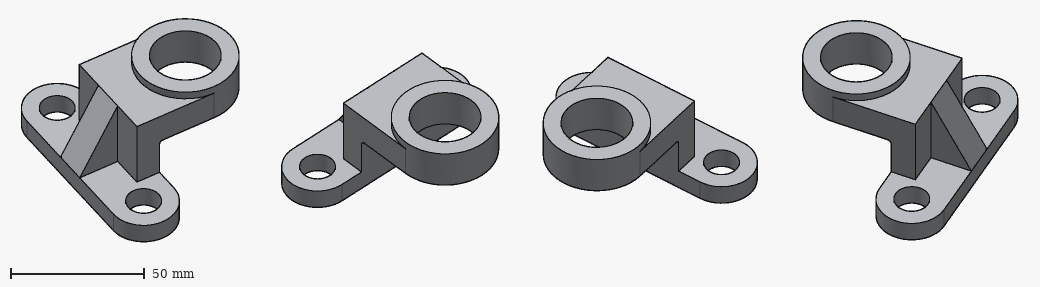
import cadquery as cq

base_length = 87.0
base_width = 26.8
base_thickness = 8.4
bolt_hole_diameter = 13.4
bolt_spacing = base_length - base_width

overall_height = 40.2
ring_diameter = 40.2
ring_bore = 26.8
ring_height = 16.0
ring_offset = 37.6
ring_step = 3.4

wall_thickness = 10.0
corner_radius = 1.6
rib_width = 13.4

arm_top = overall_height - ring_step
arm_bottom = overall_height - ring_height
base_front = -base_width / 2
wall_back = base_width / 2
wall_front = wall_back - wall_thickness


def extrude_across(profile, width):
    """Extrude a closed (Y, Z) outline symmetrically along X."""
    return cq.Workplane("YZ").polyline(profile).close().extrude(width / 2, both=True)


def cylinder(diameter, bottom, height):
    """Upright cylinder on the ring axis."""
    return (
        cq.Workplane("XY", origin=(0, ring_offset, bottom))
        .circle(diameter / 2)
        .extrude(height)
    )


base = (
    cq.Workplane("XY")
    .slot2D(base_length, base_width)
    .pushPoints([(-bolt_spacing / 2, 0), (bolt_spacing / 2, 0)])
    .circle(bolt_hole_diameter / 2)
    .extrude(base_thickness)
)

arm_profile = [
    (wall_front, 0),
    (wall_front, arm_top),
    (ring_offset, arm_top),
    (ring_offset, arm_bottom),
    (wall_back, arm_bottom),
    (wall_back, 0),
]
inner_corner = cq.selectors.NearestToPointSelector((0, wall_back, arm_bottom))
arm = extrude_across(arm_profile, ring_diameter).edges(inner_corner).fillet(corner_radius)

rib_profile = [
    (base_front, base_thickness),
    (wall_front, base_thickness),
    (wall_front, arm_top),
]
rib = extrude_across(rib_profile, rib_width)

ring = cylinder(ring_diameter, arm_bottom, ring_height)
bore = cylinder(ring_bore, arm_bottom, ring_height)

result = base.union(arm).union(rib).union(ring).cut(bore)